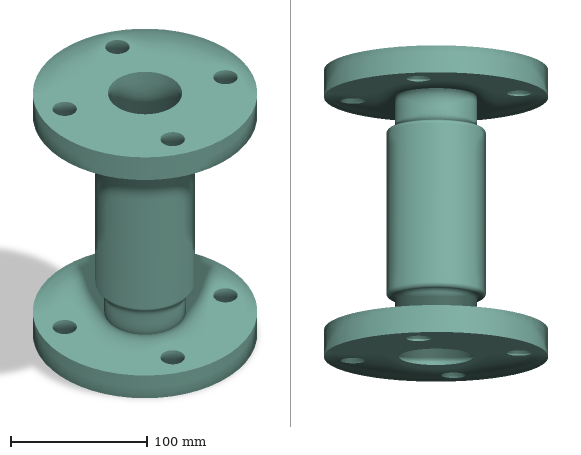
import cadquery as cq

length = 216.0
flange_diameter = 165.0
flange_thickness = 20.3

bore_diameter = 54.5
pipe_diameter = 60.0
body_diameter = 73.2
shoulder_setback = 45.0
shoulder_round = 3.0
neck_fillet = 2.5

bolt_hole_diameter = 18.0
bolt_hole_spacing = 88.3

half_length = length / 2
bore_radius = bore_diameter / 2
pipe_radius = pipe_diameter / 2
body_radius = body_diameter / 2
flange_radius = flange_diameter / 2


def make_spool():
    """Bored solid of revolution: body, pipe necks and a flange at each end."""
    flange_back = half_length - flange_thickness
    shoulder = half_length - shoulder_setback
    rim_start = shoulder - shoulder_round
    neck_start = shoulder + neck_fillet
    rim_inner_radius = body_radius - shoulder_round
    neck_outer_radius = pipe_radius + neck_fillet
    profile = (
        cq.Workplane("XZ")
        .moveTo(bore_radius, -half_length)
        .lineTo(flange_radius, -half_length)
        .lineTo(flange_radius, -flange_back)
        .lineTo(pipe_radius, -flange_back)
        .lineTo(pipe_radius, -neck_start)
        .radiusArc((neck_outer_radius, -shoulder), neck_fillet)
        .lineTo(rim_inner_radius, -shoulder)
        .radiusArc((body_radius, -rim_start), -shoulder_round)
        .lineTo(body_radius, rim_start)
        .radiusArc((rim_inner_radius, shoulder), -shoulder_round)
        .lineTo(neck_outer_radius, shoulder)
        .radiusArc((pipe_radius, neck_start), neck_fillet)
        .lineTo(pipe_radius, flange_back)
        .lineTo(flange_radius, flange_back)
        .lineTo(flange_radius, half_length)
        .lineTo(bore_radius, half_length)
        .close()
    )
    return profile.revolve(360, (0, 0, 0), (0, 1, 0))


def make_bolt_holes():
    """Four bolt holes running through both flanges."""
    return (
        cq.Workplane("XY")
        .rect(bolt_hole_spacing, bolt_hole_spacing, forConstruction=True)
        .vertices()
        .circle(bolt_hole_diameter / 2)
        .extrude(half_length, both=True)
    )


result = make_spool().cut(make_bolt_holes())